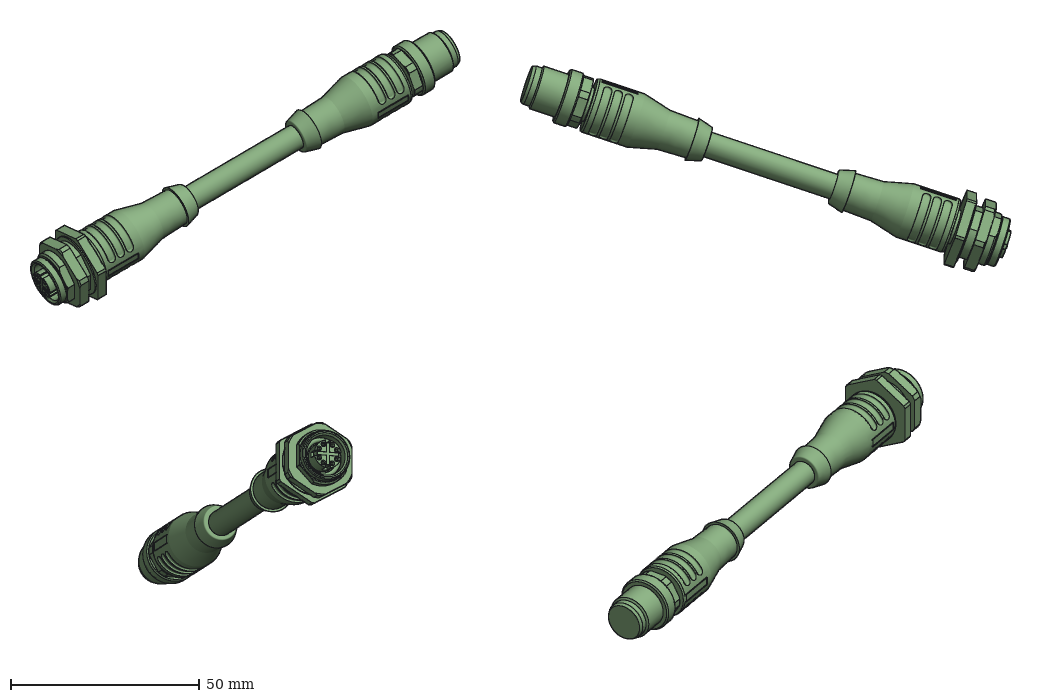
import cadquery as cq
import math

total_length = 135.0
plug_tip_y = total_length / 2
socket_tip_y = -total_length / 2

cable_diameter = 6.9
grip_diameter = 15.0
grip_edge_length = 0.6
grip_edge_drop = 0.2
grip_barrel_length = 13.2
grip_cone_end = 21.0
grip_cone_diameter = 11.0
grip_collar_start = 29.0
grip_sleeve_diameter = 10.4
grip_collar_diameter = 11.8
grip_length = 33.2
grip_tail_diameter = 9.4
grip_tail_fillet = 0.4
neck_diameter = 9.4

groove_count = 3
groove_width = 2.3
groove_pitch = 3.0
first_groove = 3.2
groove_depth = 0.5
groove_floor_fillet = 0.3
groove_end_height = 2.95
pocket_start = 1.3
pocket_length = 10.0
pocket_width = 2.3
pocket_depth = 0.3

plug_tip_chamfer_length = 0.9
plug_tip_diameter = 10.0
plug_nose_end = 2.9
plug_nose_diameter = 10.8
plug_shell_diameter = 12.0
plug_shell_chamfer = 0.4
plug_ring_start = 9.8
plug_ring_diameter = 15.0
plug_ring_chamfer = 0.4
plug_hex_start = 13.7
plug_hex_flats = 13.0
plug_hex_corner_diameter = 14.0
plug_hex_chamfer = 0.2
plug_hex_end = 16.5
plug_grip_start = 17.5

insert_height = 1.25
insert_diameter = 7.6
sleeve_diameter = 13.4
sleeve_chamfer = 0.3
sleeve_end = 3.4
relief_diameter = 12.6
relief_end = 3.75
thread_diameter = 14.9
thread_chamfer = 0.5
thread_flat_distance = 6.7
thread_second_flats_angle = -45
locknut_start = 6.1
locknut_end = 9.1
locknut_flats = 18.0
locknut_corner_diameter = 20.0
locknut_chamfer = 0.4
washer_face_start = 11.4
washer_face_diameter = 17.4
flange_start = 11.8
flange_end = 14.5
flange_flats = 19.0
flange_corner_diameter = 21.5
flange_twist = 0.18
socket_grip_start = 15.5

mouth_diameter = 12.0
mouth_depth = 0.6
bore_diameter = 10.92
bore_depth = 5.0
seal_mean_diameter = 9.6
seal_section_diameter = 1.3

cross_width = 0.9
cross_span = 6.0
cross_height = 0.15
notch_width = 1.4
notch_depth = 0.7
notch_length = 3.0
contact_offsets = (1.25, 2.5)
contact_diameter = 0.72
contact_entry_diameter = 1.3
contact_entry_depth = 0.3
contact_depth = 3.0


def turned(points):
    """Solid of revolution about Y from (diameter, y) profile points."""
    start_y = points[0][1]
    end_y = points[-1][1]
    outline = [(0, start_y)] + [(d / 2, y) for d, y in points] + [(0, end_y)]
    return cq.Workplane("XY").polyline(outline).close().revolve(360, (0, 0), (0, 1))


def cylinder(diameter, y_from, y_to):
    return turned([(diameter, y_from), (diameter, y_to)])


def chamfered_cylinder(diameter, y_from, y_to, chamfer_from=0, chamfer_to=0):
    points = [(diameter, y_from), (diameter, y_to)]
    if chamfer_from:
        points[:1] = [(diameter - 2 * chamfer_from, y_from), (diameter, y_from + chamfer_from)]
    if chamfer_to:
        points[-1:] = [(diameter, y_to - chamfer_to), (diameter - 2 * chamfer_to, y_to)]
    return turned(points)


def block(x_size, y_from, y_to, z_size, x_centre=0, z_centre=0):
    centre = (x_centre, (y_from + y_to) / 2, z_centre)
    return cq.Workplane("XY").box(x_size, y_to - y_from, z_size).translate(centre)


def spin(shape, angle):
    """Turn a shape about the Y axis."""
    return shape.rotate((0, 0, 0), (0, 1, 0), angle)


def hexagon(flats, y_from, y_to):
    """Hexagonal prism along Y with two of its flats facing -X and +X."""
    prism = cq.Workplane("XZ").polygon(6, flats / math.cos(math.pi / 6)).extrude(y_from - y_to)
    return spin(prism.translate((0, y_from, 0)), 30)


def make_grip():
    """Overmoulded grip from its connector end at y = 0 toward the cable at +Y."""
    grip = turned([
        (grip_diameter - 2 * grip_edge_drop, 0),
        (grip_diameter, grip_edge_length),
        (grip_diameter, grip_barrel_length),
        (grip_cone_diameter, grip_cone_end),
        (grip_sleeve_diameter, grip_collar_start),
        (grip_collar_diameter, grip_collar_start),
        (grip_tail_diameter, grip_length),
    ])
    grip = grip.faces(">Y").edges().fillet(grip_tail_fillet)

    floor_radius = grip_diameter / 2 - groove_depth
    barrel = cylinder(2 * grip_diameter, 0, grip_barrel_length)
    shell = barrel.cut(cylinder(2 * floor_radius, 0, grip_barrel_length))
    round_radius = groove_width / 2
    round_z = groove_end_height + round_radius
    for index in range(groove_count):
        y = first_groove + index * groove_pitch
        for side in (-1, 1):
            slot = block(grip_diameter, y - round_radius, y + round_radius, grip_diameter,
                         z_centre=side * (round_z + grip_diameter / 2))
            slot_end = (cq.Workplane("YZ").center(y, side * round_z).circle(round_radius)
                        .extrude(grip_diameter / 2, both=True))
            groove = slot.union(slot_end).intersect(shell)
            floor = groove.faces(cq.selectors.NearestToPointSelector((0, y, side * floor_radius)))
            groove = groove.newObject(floor.edges().vals()).fillet(groove_floor_fillet)
            grip = grip.cut(groove)

    for side in (-1, 1):
        grip = grip.cut(block(2 * pocket_depth, pocket_start, pocket_start + pocket_length,
                              pocket_width, x_centre=side * grip_diameter / 2))
    return grip


def make_plug():
    """Plug from its tip at y = 0 back toward +Y."""
    shell = turned([
        (plug_tip_diameter, 0),
        (plug_nose_diameter, plug_tip_chamfer_length),
        (plug_nose_diameter, plug_nose_end - plug_shell_chamfer),
        (plug_shell_diameter, plug_nose_end),
        (plug_shell_diameter, plug_ring_start),
    ])
    ring = chamfered_cylinder(plug_ring_diameter, plug_ring_start, plug_hex_start,
                              plug_ring_chamfer, plug_ring_chamfer)
    hex_corners = chamfered_cylinder(plug_hex_corner_diameter, plug_hex_start, plug_hex_end,
                                     chamfer_to=plug_hex_chamfer)
    wrench_hex = spin(hexagon(plug_hex_flats, plug_hex_start, plug_hex_end), 30).intersect(hex_corners)
    neck = cylinder(neck_diameter, plug_hex_end, plug_grip_start)
    return shell.union(ring).union(wrench_hex).union(neck)


def make_socket_body():
    """Sleeve, threaded barrel with flats, locknut and flange, tip side at low y."""
    sleeve = chamfered_cylinder(sleeve_diameter, insert_height, sleeve_end, chamfer_from=sleeve_chamfer)
    relief = cylinder(relief_diameter, sleeve_end, relief_end)
    thread = chamfered_cylinder(thread_diameter, relief_end, washer_face_start, chamfer_from=thread_chamfer)
    side_flats = block(2 * thread_flat_distance, relief_end, washer_face_start, 2 * thread_diameter)
    second_flats = spin(side_flats, thread_second_flats_angle)
    thread = thread.intersect(side_flats).intersect(second_flats)

    locknut = hexagon(locknut_flats, locknut_start, locknut_end).intersect(
        chamfered_cylinder(locknut_corner_diameter, locknut_start, locknut_end, locknut_chamfer))
    washer_face = cylinder(washer_face_diameter, washer_face_start, flange_start)
    flange = spin(hexagon(flange_flats, flange_start, flange_end), -flange_twist).intersect(
        cylinder(flange_corner_diameter, flange_start, flange_end))
    neck = cylinder(neck_diameter, flange_end, socket_grip_start)

    body = sleeve.union(relief).union(thread).union(locknut)
    return body.union(washer_face).union(flange).union(neck)


def make_insert():
    """Contact carrier: shield cross, edge notches and four pairs of contact holes."""
    insert = cylinder(insert_diameter, cross_height, bore_depth)
    for angle in (0, 90):
        insert = insert.union(spin(block(cross_span, 0, bore_depth, cross_width), angle))
    for angle in (0, 90, 180, 270):
        notch = block(2 * notch_depth, 0, notch_length, notch_width, x_centre=insert_diameter / 2)
        insert = insert.cut(spin(notch, angle))

    near, far = contact_offsets
    entry_end = cross_height + contact_entry_depth
    contact = turned([
        (contact_entry_diameter, cross_height),
        (contact_diameter, entry_end),
        (contact_diameter, contact_depth),
    ])
    for x_sign in (-1, 1):
        for z_sign in (-1, 1):
            for x, z in ((near, far), (far, near)):
                insert = insert.cut(contact.translate((x_sign * x, 0, z_sign * z)))
    return insert


def make_socket():
    """Socket from its tip at y = 0 back toward +Y."""
    mouth = turned([
        (mouth_diameter, insert_height),
        (bore_diameter, insert_height + mouth_depth),
        (bore_diameter, bore_depth),
    ])
    seal = (cq.Workplane("XY").center(seal_mean_diameter / 2, bore_depth)
            .circle(seal_section_diameter / 2)
            .revolve(360, (-seal_mean_diameter / 2, 0), (-seal_mean_diameter / 2, 1)))
    return make_socket_body().cut(mouth).union(make_insert()).union(seal)


def at_plug_end(shape, distance=0):
    return shape.rotate((0, 0, 0), (0, 0, 1), 180).translate((0, plug_tip_y - distance, 0))


def at_socket_end(shape, distance=0):
    return shape.translate((0, socket_tip_y + distance, 0))


grip = make_grip()
cable = cylinder(cable_diameter, socket_tip_y + socket_grip_start + grip_length,
                 plug_tip_y - plug_grip_start - grip_length)
result = (
    cable
    .union(at_plug_end(grip, plug_grip_start))
    .union(at_plug_end(make_plug()))
    .union(at_socket_end(grip, socket_grip_start))
    .union(at_socket_end(make_socket()))
)